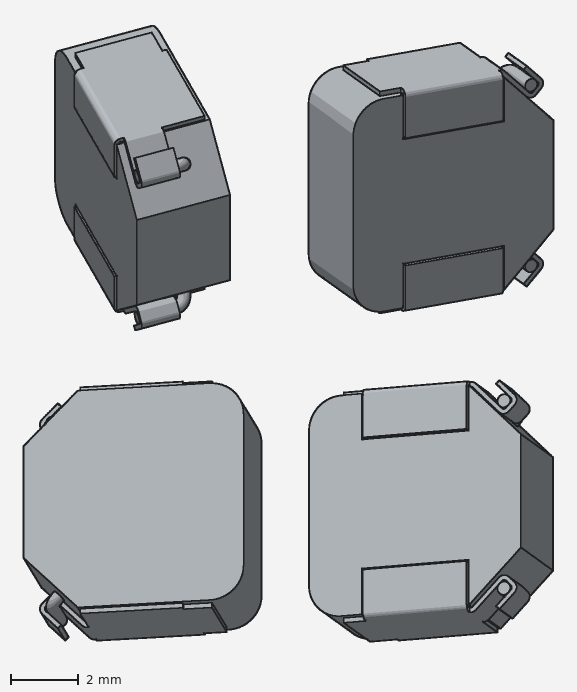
import cadquery as cq
import math


LENGTH = 6.6
DEPTH = 3.0
HEIGHT = 7.0

SHEET = 0.15
FIT = 0.05
TIGHT_OUTER = FIT + SHEET

CORE_DEPTH = DEPTH - FIT
CORE_TOP = HEIGHT / 2 - SHEET
CORNER_RADIUS = 1.0
CHAMFER = 1.63
CHAMFER_START = LENGTH - CHAMFER

LEG_LEFT = 1.695
LEG_RIGHT = CHAMFER_START - FIT
LEG_DROP = 1.345
LEG_BEND_Y = SHEET

PLATE_LEFT = CORNER_RADIUS
PLATE_BACK_MARGIN = 0.15
PLATE_BACK = CORE_DEPTH - PLATE_BACK_MARGIN
NOTCH_RIGHT = 1.85
NOTCH_DEPTH = 0.13

WING_FRONT = 0.245
WING_BACK = 1.455
WING_WIDTH = WING_BACK - WING_FRONT
WING_REACH = 1.385
CURL_INNER = 0.08
CURL_OUTER = CURL_INNER + SHEET
LIP_END = 0.49

WIRE_DIAMETER = 0.4
WIRE_RADIUS = WIRE_DIAMETER / 2
WIRE_ALONG = WING_REACH - SHEET - WIRE_RADIUS
WIRE_ABOVE = TIGHT_OUTER + WIRE_RADIUS
CHAMFER_LEVEL = FIT * math.sin(math.radians(45))
WIRE_BEND = WIRE_ABOVE - CHAMFER_LEVEL


def box(x_min, x_max, y_min, y_max, z_min, z_max):
    """Axis-aligned block between the given limits."""
    size = (x_max - x_min, y_max - y_min, z_max - z_min)
    return cq.Workplane("XY").box(*size, centered=False).translate((x_min, y_min, z_min))


def chamfer_plane(y):
    """XZ plane at depth y: local x runs down the chamfer, local y out of it, origin on the wing bend axis."""
    return cq.Plane(origin=(CHAMFER_START, y, CORE_TOP - FIT), xDir=(1, 0, -1), normal=(0, -1, 0))


def polar(radius, degrees):
    angle = math.radians(degrees)
    return (radius * math.cos(angle), radius * math.sin(angle))


def arc_point(centre, radius, degrees):
    """Point at the given angle on the circle with this centre and radius."""
    dx, dy = polar(radius, degrees)
    return (centre[0] + dx, centre[1] + dy)


def mirrored(body):
    """Copy of a body on the opposite side of the XY plane."""
    return body.mirror("XY")


def make_core():
    """Block with rounded left and chamfered right corners and a shallow pocket behind each leg."""
    block = box(0, LENGTH, 0, CORE_DEPTH, -CORE_TOP, CORE_TOP)
    block = block.edges("|Y and <X").fillet(CORNER_RADIUS)
    block = block.edges("|Y and >X").chamfer(CHAMFER)
    pocket_bottom = CORE_TOP - LEG_DROP - FIT
    pocket = box(LEG_LEFT - FIT, LEG_RIGHT + FIT, 0, SHEET, pocket_bottom, CORE_TOP)
    return block.cut(pocket).cut(mirrored(pocket))


def make_plate():
    """Flat sheet on the top face, with edges for the leg and the wing to fold from."""
    outline = [
        (PLATE_LEFT, WING_FRONT),
        (LEG_LEFT, WING_FRONT),
        (LEG_LEFT, LEG_BEND_Y),
        (LEG_RIGHT, LEG_BEND_Y),
        (LEG_RIGHT, WING_FRONT),
        (CHAMFER_START, WING_FRONT),
        (CHAMFER_START, WING_BACK),
        (LEG_RIGHT, WING_BACK),
        (LEG_RIGHT, PLATE_BACK),
        (NOTCH_RIGHT, PLATE_BACK),
        (NOTCH_RIGHT, PLATE_BACK - NOTCH_DEPTH),
        (PLATE_LEFT, PLATE_BACK - NOTCH_DEPTH),
    ]
    return cq.Workplane("XY", origin=(0, 0, CORE_TOP)).polyline(outline).close().extrude(SHEET)


def make_leg():
    """Quarter bend at the front edge of the plate and the flat leg below it."""
    bend_axis = (LEG_BEND_Y, CORE_TOP - FIT)
    leg_bottom = CORE_TOP - LEG_DROP
    profile = (
        cq.Workplane("YZ", origin=(LEG_LEFT, 0, 0))
        .moveTo(LEG_BEND_Y, CORE_TOP + SHEET)
        .threePointArc(arc_point(bend_axis, TIGHT_OUTER, 135), (-FIT, bend_axis[1]))
        .lineTo(-FIT, leg_bottom)
        .lineTo(SHEET - FIT, leg_bottom)
        .lineTo(SHEET - FIT, bend_axis[1])
        .threePointArc(arc_point(bend_axis, FIT, 135), (LEG_BEND_Y, CORE_TOP))
        .close()
    )
    return profile.extrude(LEG_RIGHT - LEG_LEFT)


def make_wing():
    """Bend at the top of the chamfer, the strip along it and the curl that holds the wire."""
    inside = WING_REACH - SHEET
    curl_start = inside - CURL_INNER
    lip_inner = TIGHT_OUTER + WIRE_DIAMETER
    lip_outer = lip_inner + SHEET
    lower_axis = (curl_start, TIGHT_OUTER + CURL_INNER)
    upper_axis = (curl_start, lip_inner - CURL_INNER)
    bend_axis = (0, 0)
    bend_start = 135
    bend_middle = 112.5
    profile = (
        cq.Workplane(chamfer_plane(WING_FRONT))
        .moveTo(*polar(TIGHT_OUTER, bend_start))
        .threePointArc(arc_point(bend_axis, TIGHT_OUTER, bend_middle), (0, TIGHT_OUTER))
        .lineTo(curl_start, TIGHT_OUTER)
        .threePointArc(arc_point(lower_axis, CURL_INNER, -45), (inside, lower_axis[1]))
        .lineTo(inside, upper_axis[1])
        .threePointArc(arc_point(upper_axis, CURL_INNER, 45), (curl_start, lip_inner))
        .lineTo(LIP_END, lip_inner)
        .lineTo(LIP_END, lip_outer)
        .lineTo(curl_start, lip_outer)
        .threePointArc(arc_point(upper_axis, CURL_OUTER, 45), (WING_REACH, upper_axis[1]))
        .lineTo(WING_REACH, lower_axis[1])
        .threePointArc(arc_point(lower_axis, CURL_OUTER, -45), (curl_start, FIT))
        .lineTo(0, FIT)
        .threePointArc(arc_point(bend_axis, FIT, bend_middle), polar(FIT, bend_start))
        .close()
    )
    return profile.extrude(-WING_WIDTH)


def make_terminal():
    return make_plate().union(make_leg()).union(make_wing())


def make_wire():
    """Straight wire inside the curl, then a quarter turn that ends on the chamfer face."""
    straight = (
        cq.Workplane(chamfer_plane(WING_FRONT))
        .center(WIRE_ALONG, WIRE_ABOVE)
        .circle(WIRE_RADIUS)
        .extrude(-WING_WIDTH)
    )
    turn = (
        cq.Workplane(chamfer_plane(WING_BACK))
        .center(WIRE_ALONG, WIRE_ABOVE)
        .circle(WIRE_RADIUS)
        .revolve(90, (0, -WIRE_BEND), (-1, -WIRE_BEND))
    )
    return straight.union(turn)


core = make_core()
terminals = []
wires = []
for on_lower_side in (False, True):
    terminal = make_terminal()
    wire = make_wire()
    terminals.append(mirrored(terminal) if on_lower_side else terminal)
    wires.append(mirrored(wire) if on_lower_side else wire)

bodies = [core, *terminals, *wires]
result = cq.Compound.makeCompound([body.val() for body in bodies])